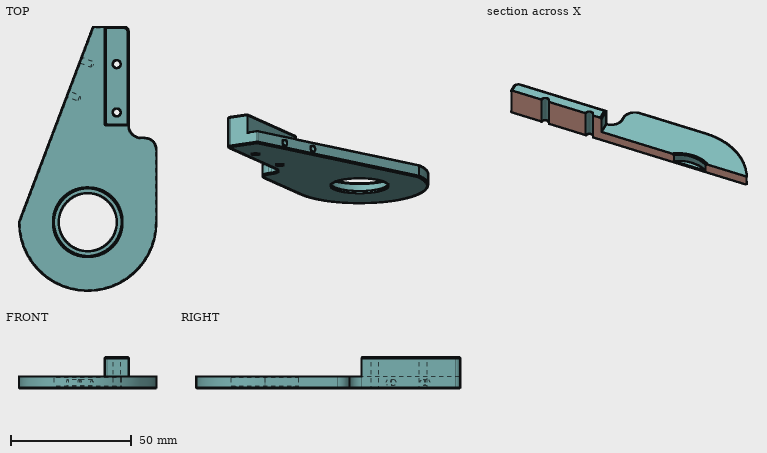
import cadquery as cq
import math

plate_thickness = 5.0
head_radius = 28.5
tip_y = 81.0
tip_left_x = 2.2
shoulder_y = 35.0
shoulder_radius = 5.0
tip_corner_radius = 0.5
bottom_chamfer = 0.5

bore_diameter = 24.0
seat_diameter = 28.0
seat_depth = 4.0
seat_chamfer = 0.5

bar_width = 10.0
bar_length = 41.0
bar_right_x = 17.0
total_height = 13.0
bar_corner_radius = 1.0
bar_tip_radius = 2.0
bar_top_chamfer = 0.5

bar_hole_diameter = 3.2
bar_hole_count = 2
bar_hole_spacing = 20.0
bar_hole_tip_distance = 15.5

edge_hole_diameter = 2.5
edge_hole_depth = 5.0
drill_point_angle = 118.0
edge_hole_count = 2
edge_hole_spacing = 15.0
edge_hole_tip_distance = 14.75

bar_left_x = bar_right_x - bar_width
bar_bottom_y = tip_y - bar_length
bar_center_x = (bar_left_x + bar_right_x) / 2
slope_length = math.hypot(tip_left_x + head_radius, tip_y)
slope_x = (tip_left_x + head_radius) / slope_length
slope_y = tip_y / slope_length


def make_plate():
    """Teardrop plate with a stepped shoulder and a chamfered underside."""
    arc_offset = shoulder_radius * math.sqrt(0.5)
    inner_center = (bar_right_x + shoulder_radius, shoulder_y + shoulder_radius)
    outer_center = (head_radius - shoulder_radius, shoulder_y - shoulder_radius)
    plate = (
        cq.Workplane("XY")
        .moveTo(-head_radius, 0)
        .threePointArc((0, -head_radius), (head_radius, 0))
        .lineTo(head_radius, outer_center[1])
        .threePointArc(
            (outer_center[0] + arc_offset, outer_center[1] + arc_offset),
            (outer_center[0], shoulder_y),
        )
        .lineTo(inner_center[0], shoulder_y)
        .threePointArc(
            (inner_center[0] - arc_offset, inner_center[1] - arc_offset),
            (bar_right_x, inner_center[1]),
        )
        .lineTo(bar_right_x, tip_y)
        .lineTo(tip_left_x, tip_y)
        .close()
        .extrude(plate_thickness)
    )
    tip_left_edge = cq.selectors.NearestToPointSelector((tip_left_x, tip_y, plate_thickness / 2))
    tip_right_edge = cq.selectors.NearestToPointSelector((bar_right_x, tip_y, plate_thickness / 2))
    plate = plate.edges(tip_left_edge).fillet(tip_corner_radius)
    plate = plate.edges(tip_right_edge).fillet(bar_tip_radius)
    return plate.faces("<Z").edges().chamfer(bottom_chamfer)


def make_bar():
    """Rectangular bar, overlapping the plate, with two opposite corners rounded and a chamfered top."""
    base_z = plate_thickness / 2
    bar = (
        cq.Workplane("XY")
        .box(bar_width, bar_length, total_height - base_z, centered=False)
        .translate((bar_left_x, bar_bottom_y, base_z))
    )
    bar = bar.edges("|Z and >X and >Y").fillet(bar_tip_radius)
    bar = bar.edges("|Z and <X and <Y").fillet(bar_corner_radius)
    return bar.faces(">Z").edges().chamfer(bar_top_chamfer)


def cut_bore(body):
    """Through bore with a wider bearing seat from the top face and a lead-in chamfer."""
    seat_radius = seat_diameter / 2
    floor_z = plate_thickness - seat_depth
    profile = (
        cq.Workplane("XZ")
        .lineTo(bore_diameter / 2, 0)
        .lineTo(bore_diameter / 2, floor_z)
        .lineTo(seat_radius, floor_z)
        .lineTo(seat_radius, plate_thickness - seat_chamfer)
        .lineTo(seat_radius + seat_chamfer, plate_thickness)
        .lineTo(0, plate_thickness)
        .close()
    )
    return body.cut(profile.revolve(360, (0, 0), (0, 1)))


def cut_bar_holes(body):
    """Vertical holes through the bar and the plate below it."""
    for index in range(bar_hole_count):
        hole_y = tip_y - bar_hole_tip_distance - index * bar_hole_spacing
        hole = (
            cq.Workplane("XY")
            .center(bar_center_x, hole_y)
            .circle(bar_hole_diameter / 2)
            .extrude(total_height)
        )
        body = body.cut(hole)
    return body


def cut_edge_holes(body):
    """Blind drilled holes with conical ends, at mid thickness and square to the sloping edge."""
    hole_radius = edge_hole_diameter / 2
    cone_length = hole_radius / math.tan(math.radians(drill_point_angle / 2))
    inward = cq.Vector(slope_y, -slope_x, 0)
    for index in range(edge_hole_count):
        along = edge_hole_tip_distance + index * edge_hole_spacing
        start = cq.Vector(
            tip_left_x - along * slope_x,
            tip_y - along * slope_y,
            plate_thickness / 2,
        )
        shank = cq.Solid.makeCylinder(hole_radius, edge_hole_depth, start, inward)
        cone_start = start + inward * edge_hole_depth
        point = cq.Solid.makeCone(hole_radius, 0, cone_length, cone_start, inward)
        body = body.cut(cq.Workplane(obj=shank.fuse(point)))
    return body


result = make_plate().union(make_bar())
result = cut_bore(result)
result = cut_bar_holes(result)
result = cut_edge_holes(result)